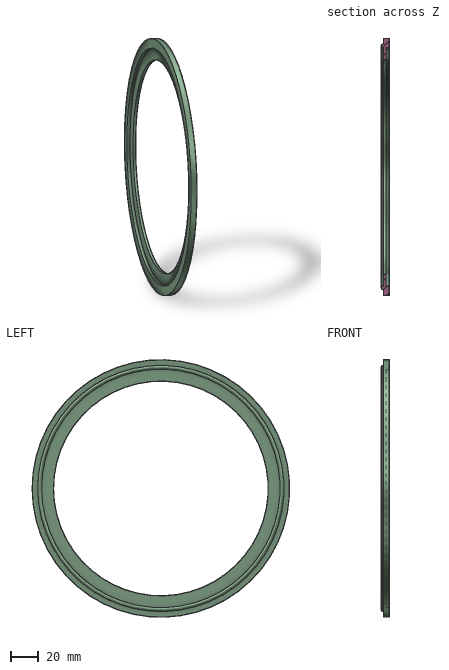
import cadquery as cq

outer_diameter = 185.0
inner_diameter = 154.0
overall_thickness = 5.8
bead_height = 1.5
bead_wall_height = 0.4
bead_width = 2.8
bead_circle_radius = 87.0
web_thickness = 2.0

outer_radius = outer_diameter / 2
inner_radius = inner_diameter / 2
plate_thickness = overall_thickness - bead_height
bead_inner_radius = bead_circle_radius - bead_width / 2
bead_outer_radius = bead_circle_radius + bead_width / 2
recess_radius = bead_inner_radius


def ring_section():
    """Radial section in the XY plane: a rimmed plate with a round-topped bead on its -X face."""
    return (
        cq.Workplane("XY")
        .moveTo(0, inner_radius)
        .lineTo(0, bead_inner_radius)
        .lineTo(-bead_wall_height, bead_inner_radius)
        .threePointArc((-bead_height, bead_circle_radius), (-bead_wall_height, bead_outer_radius))
        .lineTo(0, bead_outer_radius)
        .lineTo(0, outer_radius)
        .lineTo(plate_thickness, outer_radius)
        .lineTo(plate_thickness, recess_radius)
        .lineTo(web_thickness, recess_radius)
        .lineTo(web_thickness, inner_radius)
        .close()
    )


result = ring_section().revolve(360, (0, 0, 0), (1, 0, 0))